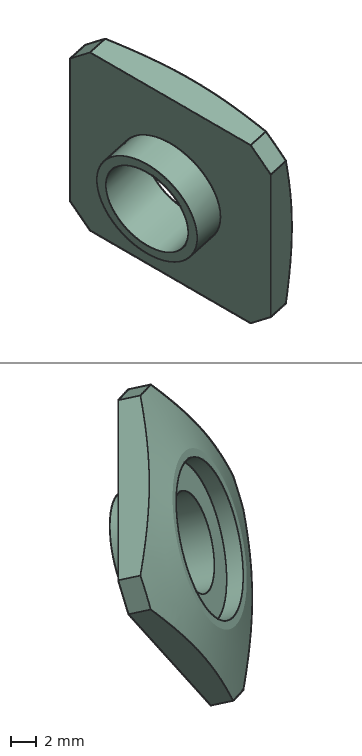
import cadquery as cq
import math

plate_side = 20.0
plate_thickness = 3.4
corner_clip = 2.0

collar_diameter = 10.0
collar_length = 2.9
bore_diameter = 8.2

recess_diameter = 13.0
recess_depth = 1.4

flat_radius = 7.2
cone_angle = 15.0


def cylinder_along_y(diameter, start_y, length):
    """Cylinder centred on the Y axis, running from start_y toward +Y."""
    return cq.Workplane("XZ", origin=(0, start_y, 0)).circle(diameter / 2).extrude(-length)


def clipped_plate():
    """Plate from Y = 0 to its thickness, with its four corners cut off."""
    plate = cq.Workplane("XZ").rect(plate_side, plate_side).extrude(-plate_thickness)
    return plate.edges("|Y").chamfer(corner_clip)


def cone_envelope():
    """Solid of revolution whose cone trims the back of the plate."""
    outer_radius = plate_side / math.sqrt(2)
    rim_y = plate_thickness - (outer_radius - flat_radius) * math.tan(math.radians(cone_angle))
    profile = cq.Workplane("XY").polyline([
        (0, 0),
        (outer_radius, 0),
        (outer_radius, rim_y),
        (flat_radius, plate_thickness),
        (0, plate_thickness),
    ]).close()
    return profile.revolve(360, (0, 0, 0), (0, 1, 0))


plate = clipped_plate().intersect(cone_envelope())
collar = cylinder_along_y(collar_diameter, -collar_length, collar_length)
bore = cylinder_along_y(bore_diameter, -collar_length, collar_length + plate_thickness)
recess = cylinder_along_y(recess_diameter, plate_thickness - recess_depth, recess_depth)

result = plate.union(collar).cut(bore).cut(recess)